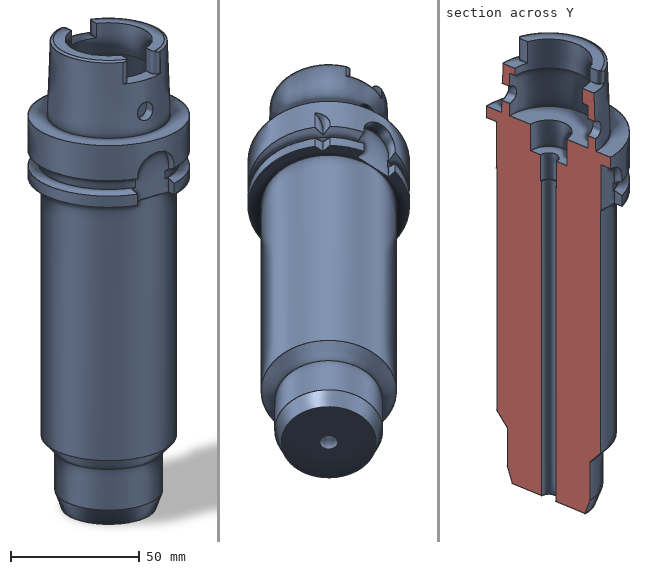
import cadquery as cq
import math

TOTAL_LENGTH = 197.0
SHANK_LENGTH = 32.0
FLANGE_HEIGHT = 26.0
FLANGE_TOP = TOTAL_LENGTH - SHANK_LENGTH
FLANGE_BOTTOM = FLANGE_TOP - FLANGE_HEIGHT
BODY_BOTTOM = 30.1
NOSE_TOP = 24.2
NOSE_TAPER_HEIGHT = 7.0

FLANGE_RADIUS = 31.5
GROOVE_RADIUS = 27.5
BODY_RADIUS = 26.4
NOSE_RADIUS = 21.0
NOSE_TIP_RADIUS = 18.5
SHANK_BASE_RADIUS = 24.0
SHANK_TOP_RADIUS = 22.9
RIM_BEVEL_WIDTH = 1.2
RIM_BEVEL_HEIGHT = 0.5

GROOVE_UPPER_EDGE = 14.8
GROOVE_FLOOR_TOP = 16.7
GROOVE_FLOOR_BOTTOM = 20.0
GROOVE_LOWER_EDGE = 21.3

SOCKET_RADIUS = 17.0
SOCKET_DEPTH = SHANK_LENGTH
SOCKET_LIP_DEPTH = 13.0
UNDERCUT_RADIUS = 19.7
TUBE_SEAT_RADIUS = 9.0
TUBE_SEAT_DEPTH = 11.8
COOLANT_RADIUS = 4.0
COOLANT_DEPTH = 11.8
THROUGH_RADIUS = 3.5

DRIVE_SLOT_WIDTH = 12.2
DRIVE_SLOT_ROUNDING = 2.2
LEFT_DRIVE_SLOT_DEPTH = 6.1
RIGHT_DRIVE_SLOT_DEPTH = 9.7

CROSS_HOLE_DIAMETER = 7.5
CROSS_HOLE_DEPTH = 22.7

KEYWAY_TOP = FLANGE_TOP - 5.3
KEYWAY_FLOOR = 26.5
LEFT_KEYWAY_WIDTH = 16.0
RIGHT_KEYWAY_WIDTH = 18.0

NOTCH_FLOOR = 20.0
NOTCH_SIDE = NOTCH_FLOOR
NOTCH_WIDTH = LEFT_KEYWAY_WIDTH


def turned_body():
    profile = [
        (0, 0),
        (NOSE_TIP_RADIUS, 0),
        (NOSE_RADIUS, NOSE_TAPER_HEIGHT),
        (NOSE_RADIUS, NOSE_TOP),
        (BODY_RADIUS, BODY_BOTTOM),
        (BODY_RADIUS, FLANGE_BOTTOM),
        (FLANGE_RADIUS, FLANGE_BOTTOM),
        (FLANGE_RADIUS, FLANGE_TOP - GROOVE_LOWER_EDGE),
        (GROOVE_RADIUS, FLANGE_TOP - GROOVE_FLOOR_BOTTOM),
        (GROOVE_RADIUS, FLANGE_TOP - GROOVE_FLOOR_TOP),
        (FLANGE_RADIUS, FLANGE_TOP - GROOVE_UPPER_EDGE),
        (FLANGE_RADIUS, FLANGE_TOP),
        (SHANK_BASE_RADIUS, FLANGE_TOP),
        (SHANK_TOP_RADIUS, TOTAL_LENGTH - RIM_BEVEL_HEIGHT),
        (SHANK_TOP_RADIUS - RIM_BEVEL_WIDTH, TOTAL_LENGTH),
        (0, TOTAL_LENGTH),
    ]
    return cq.Workplane("XZ").polyline(profile).close().revolve(360, (0, 0), (0, 1))


def stepped_bore():
    lip_bottom = TOTAL_LENGTH - SOCKET_LIP_DEPTH
    seat_top = TOTAL_LENGTH - SOCKET_DEPTH
    coolant_top = seat_top - TUBE_SEAT_DEPTH
    through_top = coolant_top - COOLANT_DEPTH
    profile = [
        (0, 0),
        (THROUGH_RADIUS, 0),
        (THROUGH_RADIUS, through_top),
        (COOLANT_RADIUS, through_top),
        (COOLANT_RADIUS, coolant_top),
        (TUBE_SEAT_RADIUS, coolant_top),
        (TUBE_SEAT_RADIUS, seat_top),
        (UNDERCUT_RADIUS, seat_top),
        (UNDERCUT_RADIUS, lip_bottom),
        (SOCKET_RADIUS, lip_bottom),
        (SOCKET_RADIUS, TOTAL_LENGTH),
        (0, TOTAL_LENGTH),
    ]
    return cq.Workplane("XZ").polyline(profile).close().revolve(360, (0, 0), (0, 1))


def drive_slot(side, depth):
    """Slot through the shank wall on the +X (side=1) or -X (side=-1) side, rounded at its mouth."""
    half_width = DRIVE_SLOT_WIDTH / 2
    center_y = half_width + DRIVE_SLOT_ROUNDING
    center_radius = SHANK_TOP_RADIUS - DRIVE_SLOT_ROUNDING
    center_x = math.sqrt(center_radius**2 - center_y**2)
    mouth_angle = math.atan2(center_y, center_x)
    middle_angle = (mouth_angle - math.pi / 2) / 2

    def on_rounding(angle):
        return (
            center_x + DRIVE_SLOT_ROUNDING * math.cos(angle),
            center_y + DRIVE_SLOT_ROUNDING * math.sin(angle),
        )

    mouth = on_rounding(mouth_angle)
    runout = (
        FLANGE_RADIUS * math.cos(mouth_angle),
        FLANGE_RADIUS * math.sin(mouth_angle),
    )
    half_slot = (
        cq.Workplane("XY", origin=(0, 0, TOTAL_LENGTH - depth))
        .lineTo(0, half_width)
        .lineTo(center_x, half_width)
        .threePointArc(on_rounding(middle_angle), mouth)
        .lineTo(*runout)
        .lineTo(FLANGE_RADIUS, runout[1])
        .lineTo(FLANGE_RADIUS, 0)
        .close()
        .extrude(depth)
    )
    slot = half_slot.union(half_slot.mirror("XZ"))
    return slot if side > 0 else slot.mirror("YZ")


def cross_hole():
    """Round hole along X through both shank walls."""
    height = TOTAL_LENGTH - CROSS_HOLE_DEPTH
    return (
        cq.Workplane("YZ", origin=(0, 0, height))
        .circle(CROSS_HOLE_DIAMETER / 2)
        .extrude(FLANGE_RADIUS, both=True)
    )


def keyway(side, floor, center_y, width):
    """Round-topped slot, open at the flange bottom and outward along X from its flat floor."""
    radius = width / 2
    return (
        cq.Workplane("YZ", origin=(side * floor, center_y, 0))
        .moveTo(-radius, FLANGE_BOTTOM)
        .lineTo(-radius, KEYWAY_TOP - radius)
        .threePointArc((0, KEYWAY_TOP), (radius, KEYWAY_TOP - radius))
        .lineTo(radius, FLANGE_BOTTOM)
        .close()
        .extrude(side * FLANGE_RADIUS)
    )


result = (
    turned_body()
    .cut(stepped_bore())
    .cut(drive_slot(-1, LEFT_DRIVE_SLOT_DEPTH))
    .cut(drive_slot(1, RIGHT_DRIVE_SLOT_DEPTH))
    .cut(cross_hole())
    .cut(keyway(-1, KEYWAY_FLOOR, 0, LEFT_KEYWAY_WIDTH))
    .cut(keyway(1, KEYWAY_FLOOR, 0, RIGHT_KEYWAY_WIDTH))
    .cut(keyway(-1, NOTCH_FLOOR, NOTCH_SIDE + NOTCH_WIDTH / 2, NOTCH_WIDTH))
)